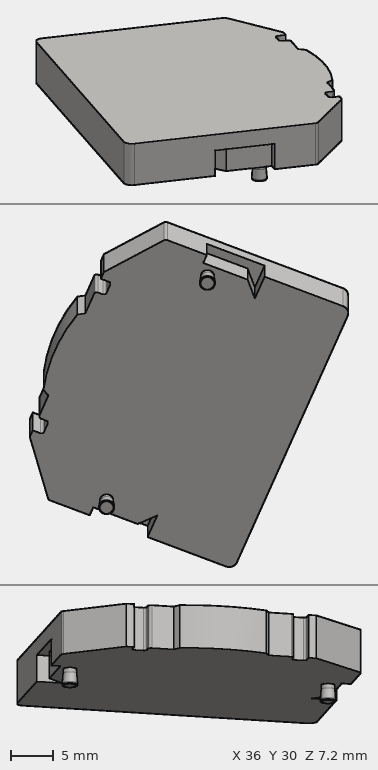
import cadquery as cq

width = 36.0
length = 30.0
thickness = 5.2
half_width = width / 2

shoulder_y = 28.5
shoulder_half_width = 11.4
slope_start_y = 23.43
crown_foot_half_width = 5.7
crown_half_width = 5.2
crown_side_y = 29.3

notch_center_x = 9.6
notch_width = 1.75
notch_depth = 1.3
notch_radius = 0.35

back_corner_radius = 1.0
slope_corner_radius = 0.5

recess_height = 3.2
recess_front_y = 18.2
recess_slant_y = 12.6
recess_back_y = 10.9
shallow_depth = 1.1
deep_depth = 3.0

pin_x = 15.5
pin_y = 17.1
pin_length = 2.0
pin_neck_length = 0.5
pin_neck_diameter = 1.6
pin_tip_diameter = 1.8
pin_tip_length = 0.3
pin_tip_chamfer = 0.1


def make_plate():
    """Plate with sloped front corners and a crowned front edge."""
    plate = (
        cq.Workplane("XY")
        .moveTo(-half_width, 0)
        .lineTo(-half_width, slope_start_y)
        .lineTo(-shoulder_half_width, shoulder_y)
        .lineTo(-crown_foot_half_width, shoulder_y)
        .lineTo(-crown_half_width, crown_side_y)
        .threePointArc((0, length), (crown_half_width, crown_side_y))
        .lineTo(crown_foot_half_width, shoulder_y)
        .lineTo(shoulder_half_width, shoulder_y)
        .lineTo(half_width, slope_start_y)
        .lineTo(half_width, 0)
        .close()
        .extrude(thickness)
    )
    back_corners = [(-half_width, 0, 0), (half_width, 0, 0)]
    slope_corners = [(-half_width, slope_start_y, 0), (half_width, slope_start_y, 0)]
    plate = round_upright_edges(plate, back_corners, back_corner_radius)
    return round_upright_edges(plate, slope_corners, slope_corner_radius)


def round_upright_edges(body, corners, radius):
    """Fillet the upright plate edges that stand on the given corner points."""
    for x, y, z in corners:
        edge = cq.selectors.NearestToPointSelector((x, y, z + thickness / 2))
        body = body.edges("|Z").edges(edge).fillet(radius)
    return body


def cut_notch(plate, side):
    """Cut a notch with a rounded floor and a rounded inner lip into one shoulder."""
    notch = (
        cq.Workplane("XY")
        .center(side * notch_center_x, shoulder_y)
        .rect(notch_width, 2 * notch_depth)
        .extrude(thickness)
        .edges("|Z").edges("<Y")
        .fillet(notch_radius)
    )
    inner_lip = (side * (notch_center_x - notch_width / 2), shoulder_y, 0)
    return round_upright_edges(plate.cut(notch), [inner_lip], notch_radius)


def side_recess(side):
    """Recess with a flat floor that slants deeper toward the back of the plate."""
    floor_x = side * (half_width - shallow_depth)
    deep_x = side * (half_width - deep_depth)
    face_x = side * half_width
    return (
        cq.Workplane("XY")
        .moveTo(face_x, recess_front_y)
        .lineTo(floor_x, recess_front_y)
        .lineTo(floor_x, recess_slant_y)
        .lineTo(deep_x, recess_back_y)
        .lineTo(face_x, recess_back_y)
        .close()
        .extrude(recess_height)
    )


def make_pin(side):
    """Pin with a straight neck, a flaring shank and a short chamfered tip."""
    neck_radius = pin_neck_diameter / 2
    tip_radius = pin_tip_diameter / 2
    return (
        cq.Workplane("XZ")
        .lineTo(neck_radius, 0)
        .lineTo(neck_radius, -pin_neck_length)
        .lineTo(tip_radius, pin_tip_length - pin_length)
        .lineTo(tip_radius, pin_tip_chamfer - pin_length)
        .lineTo(tip_radius - pin_tip_chamfer, -pin_length)
        .lineTo(0, -pin_length)
        .close()
        .revolve(360, (0, 0), (0, 1))
        .translate((side * pin_x, pin_y, 0))
    )


result = make_plate()
for side in (-1, 1):
    result = cut_notch(result, side)
    result = result.cut(side_recess(side))
    result = result.union(make_pin(side))